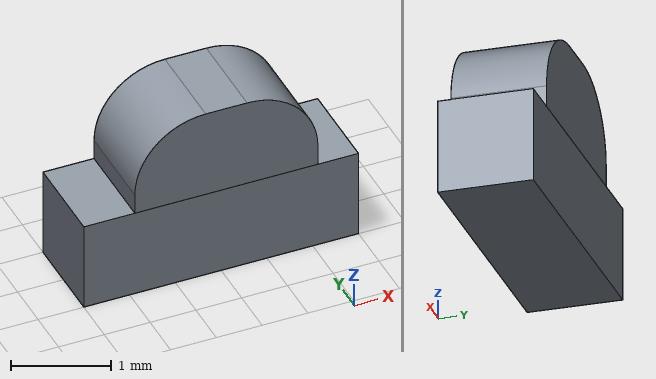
import cadquery as cq

base_length = 3.0
depth = base_length / 3
base_height = base_length / 3
dome_width = base_length * 2 / 3
dome_height = base_length / 3
shoulder_radius = 0.775
dome_offset = 0.057


def make_base():
    """Rectangular block resting on Z = 0."""
    return cq.Workplane("XY").box(base_length, depth, base_height, centered=(True, True, False))


def make_dome():
    """Block standing on the base, with its two upper long edges rounded."""
    return (
        cq.Workplane("XY")
        .box(dome_width, depth, dome_height, centered=(True, True, False))
        .edges("|Y and >Z")
        .fillet(shoulder_radius)
        .translate((dome_offset, 0, base_height))
    )


base = make_base()
dome = make_dome()

result = cq.Compound.makeCompound([base.val(), dome.val()])